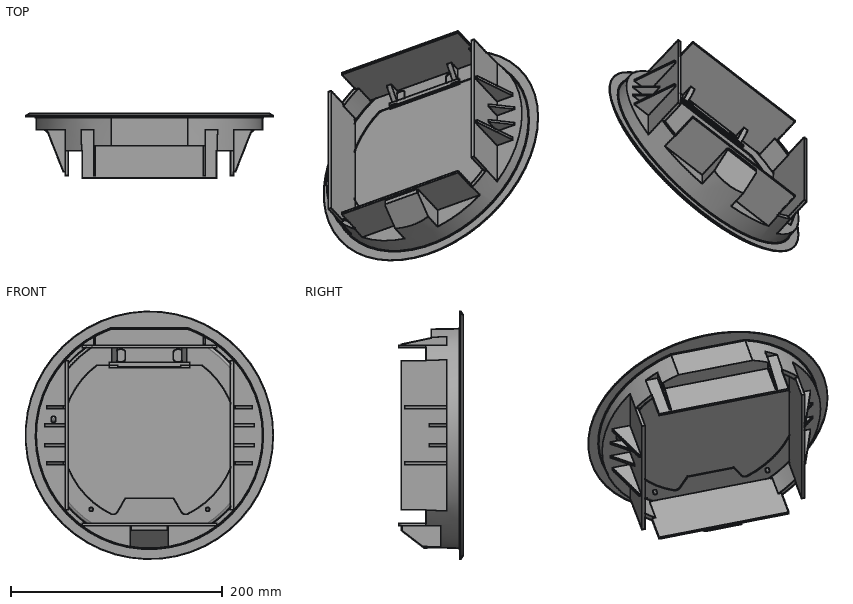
import cadquery as cq
import math


RING_RADIUS = 117.0
RING_REAR_RADIUS = 113.3
RING_EDGE_DEPTH = 2.3
RING_DEPTH = 3.3
LIP_DEPTH = 4.0
LIP_MARGIN = 0.7
PLATE_DEPTH = 13.5
PLATE_RIM_FILLET = 3.0

BODY_RADIUS = 107.0
DRAFT_ANGLE = 0.8
SKIRT_THICKNESS = 4.7
FLAT_HEIGHT = 100.6
SIDE_FLOOR_DEPTH = 15.5
BOTTOM_FLOOR_DEPTH = 21.3
TOP_FLOOR_DEPTH = 30.5
CORNER_DEPTH = 35.3
PLATE_RADIUS = BODY_RADIUS - SKIRT_THICKNESS
PLATE_FLAT_HEIGHT = FLAT_HEIGHT - SKIRT_THICKNESS

WALL_SIDE_X = 79.5
WALL_SIDE_THICKNESS = 3.0
WALL_SIDE_HALF_LENGTH = 70.5
WALL_SIDE_DEPTH = 58.7
WALL_END_Z = 85.2
WALL_END_THICKNESS = 2.3
WALL_END_HALF_LENGTH = 63.5
WALL_END_DEPTH = 61.0

LONG_RIB_Z = 26.5
LONG_RIB_THICKNESS = 3.0
LONG_RIB_ROOT_X = 96.9
LONG_RIB_TIP_WIDTH = 1.6
LONG_RIB_DEPTH = 55.2
SHORT_RIB_Z = 9.4
SHORT_RIB_THICKNESS = 2.5
SHORT_RIB_ROOT_X = 99.0
SHORT_RIB_DEPTH = 32.0
TOP_RIB_X = 52.6
TOP_RIB_THICKNESS = 1.6
TOP_RIB_ROOT_Z = 92.0
TOP_RIB_TIP_Z = 85.9
TOP_RIB_DEPTH = 58.7

BOX_HALF_WIDTH = 18.0
BOX_DEPTH = 58.7
BOX_LIP_Z = 89.6
BOX_BASE_DEPTH = 36.3
BOX_CHAMFER = 1.0

LID_RADIUS = 82.5
LID_TOP_Z = 66.0
LID_RECESS = 1.0
LID_NOTCH_Z = 59.5
LID_NOTCH_HALF_WIDTH = 22.7
LID_NOTCH_ANGLE = 60.0
LID_LOBE_RADIUS = 4.7

BAR_HALF_WIDTH = 38.0
BAR_TOP_Z = 69.0
BAR_BOTTOM_Z = 63.9
BAR_THICKNESS = 2.3
BAR_CHAMFER = 0.7
BAR_TAB_LENGTH = 8.2
BAR_TAB_STEP = 1.2
LUG_OUTER_X = 35.3
LUG_WIDTH = 5.0
LUG_HEIGHT = 11.7
POCKET_CENTRE_X = 27.1
POCKET_WIDTH = 9.1
POCKET_BOTTOM_Z = 69.5
POCKET_TOP_Z = 81.0
POCKET_RADIUS = 3.0
POCKET_DEPTH = 0.7

STUD_X = 55.0
STUD_Z = -70.0
STUD_RADIUS = 1.9
STUD_HEIGHT = 3.5
STUD_FILLET = 1.2
LATCH_X = -90.5
LATCH_Z = 15.0
LATCH_WIDTH = 4.5
LATCH_LENGTH = 5.8
LATCH_HEIGHT = 3.0
LATCH_FILLET = 1.9


def at_depth(depth):
    """Sketch plane at a depth: local x is X, local y is Z, extruding goes deeper."""
    return cq.Workplane("XZ", origin=(0, -depth, 0))


def block(x_min, x_max, z_min, z_max, depth_min, depth_max):
    """Rectangular block between two depths."""
    return (
        at_depth(depth_min)
        .center((x_min + x_max) / 2, (z_min + z_max) / 2)
        .rect(x_max - x_min, z_max - z_min)
        .extrude(depth_max - depth_min)
    )


def flat_disc(radius, flat_height, depth):
    """Disc from Y = 0 with a flat across its top."""
    disc = at_depth(0).circle(radius).extrude(depth)
    return disc.cut(block(-radius, radius, flat_height, radius, 0, depth))


def mirrored_pair(shape):
    """A shape joined with its copy on the other side of X = 0."""
    return shape.union(shape.mirror("YZ"))


def lid_blank(depth):
    """Lid outline extruded from Y = 0, with a notch at the bottom for cables."""
    blank = flat_disc(LID_RADIUS, LID_TOP_Z, depth)
    notch_drop = LID_RADIUS - LID_NOTCH_Z
    flare = notch_drop / math.tan(math.radians(LID_NOTCH_ANGLE))
    notch = (
        at_depth(0)
        .polyline(
            [
                (-LID_NOTCH_HALF_WIDTH, -LID_NOTCH_Z),
                (LID_NOTCH_HALF_WIDTH, -LID_NOTCH_Z),
                (LID_NOTCH_HALF_WIDTH + flare, -LID_RADIUS),
                (-LID_NOTCH_HALF_WIDTH - flare, -LID_RADIUS),
            ]
        )
        .close()
        .extrude(depth)
    )
    lobe_tips = cq.selectors.BoxSelector(
        (-LID_RADIUS, -depth, -LID_RADIUS), (LID_RADIUS, 0, -LID_TOP_Z)
    )
    return blank.cut(notch).edges("|Y").edges(lobe_tips).fillet(LID_LOBE_RADIUS)


def make_lid():
    return lid_blank(PLATE_DEPTH - LID_RECESS)


def plate():
    """Round plate with a flat at its top and a rounded front rim."""
    disc = flat_disc(PLATE_RADIUS, PLATE_FLAT_HEIGHT, PLATE_DEPTH)
    return disc.faces("<Y").edges().fillet(PLATE_RIM_FILLET)


def hinge_pockets():
    """Shallow rounded pockets beside the lugs."""
    pocket = (
        at_depth(PLATE_DEPTH - POCKET_DEPTH)
        .center(POCKET_CENTRE_X, (POCKET_BOTTOM_Z + POCKET_TOP_Z) / 2)
        .rect(POCKET_WIDTH, POCKET_TOP_Z - POCKET_BOTTOM_Z)
        .extrude(POCKET_DEPTH)
        .edges("|Y")
        .fillet(POCKET_RADIUS)
    )
    return mirrored_pair(pocket)


def make_frame():
    """Trim ring with a low lip behind the housing, the plate inside it, and an opening for the lid."""
    profile = [
        (0, 0),
        (RING_REAR_RADIUS, 0),
        (RING_RADIUS, -RING_EDGE_DEPTH),
        (RING_RADIUS, -RING_DEPTH),
        (0, -RING_DEPTH),
    ]
    ring = cq.Workplane("XY").polyline(profile).close().revolve(360, (0, 0, 0), (0, 1, 0))
    lip = flat_disc(BODY_RADIUS + LIP_MARGIN, FLAT_HEIGHT + LIP_MARGIN, LIP_DEPTH)
    return ring.union(lip).union(plate()).cut(lid_blank(PLATE_DEPTH)).cut(hinge_pockets())


def envelope(depth):
    """Drafted round body with a flat on top, from the frame's lip to the given depth."""
    height = depth - LIP_DEPTH
    shrink = height * math.tan(math.radians(DRAFT_ANGLE))
    cone = at_depth(LIP_DEPTH).circle(BODY_RADIUS).extrude(height, taper=DRAFT_ANGLE)
    outline = [
        (-LIP_DEPTH, FLAT_HEIGHT),
        (-depth, FLAT_HEIGHT - shrink),
        (-depth, BODY_RADIUS),
        (-LIP_DEPTH, BODY_RADIUS),
    ]
    plane = cq.Workplane("YZ", origin=(-BODY_RADIUS, 0, 0))
    return cone.cut(plane.polyline(outline).close().extrude(2 * BODY_RADIUS))


def solid_core():
    """Envelope cut back outside the walls, leaving full-depth skirts only at the corners."""
    edge = BODY_RADIUS
    core = envelope(CORNER_DEPTH)
    core = core.cut(block(-edge, edge, -edge, -WALL_END_Z, BOTTOM_FLOOR_DEPTH, CORNER_DEPTH))
    core = core.cut(block(-edge, edge, WALL_END_Z, edge, TOP_FLOOR_DEPTH, CORNER_DEPTH))
    side = block(WALL_SIDE_X, edge, -WALL_END_Z, WALL_END_Z, SIDE_FLOOR_DEPTH, CORNER_DEPTH)
    top_corner = block(TOP_RIB_X, edge, WALL_END_Z, edge, SIDE_FLOOR_DEPTH, CORNER_DEPTH)
    return core.cut(mirrored_pair(side)).cut(mirrored_pair(top_corner))


def walls():
    """Two side walls and two end walls."""
    inner_x = WALL_SIDE_X - WALL_SIDE_THICKNESS
    inner_z = WALL_END_Z - WALL_END_THICKNESS
    half_z = WALL_SIDE_HALF_LENGTH
    half_x = WALL_END_HALF_LENGTH
    sides = mirrored_pair(block(inner_x, WALL_SIDE_X, -half_z, half_z, PLATE_DEPTH, WALL_SIDE_DEPTH))
    top = block(-half_x, half_x, inner_z, WALL_END_Z, PLATE_DEPTH, WALL_END_DEPTH)
    return sides.union(top).union(top.mirror("XY"))


def interior():
    """Pocket that takes the plate, opening into the space between the walls."""
    half_x = WALL_SIDE_X - WALL_SIDE_THICKNESS
    half_z = WALL_END_Z - WALL_END_THICKNESS
    square = block(-half_x, half_x, -half_z, half_z, 0, WALL_END_DEPTH)
    opening = at_depth(0).circle(PLATE_RADIUS).extrude(WALL_END_DEPTH).intersect(square)
    return opening.union(flat_disc(PLATE_RADIUS, PLATE_FLAT_HEIGHT, PLATE_DEPTH))


def side_rib(z, thickness, root_x, tip_points):
    """Tapered rib on the side floor against the right wall, centred on height z."""
    outline = [(WALL_SIDE_X, -SIDE_FLOOR_DEPTH), (root_x, -SIDE_FLOOR_DEPTH), *tip_points]
    plane = cq.Workplane("XY", origin=(0, 0, z - thickness / 2))
    return plane.polyline(outline).close().extrude(thickness)


def side_ribs():
    """Two long blunt ribs and two short pointed ribs on each side wall."""
    long_tip = [
        (WALL_SIDE_X + LONG_RIB_TIP_WIDTH, -LONG_RIB_DEPTH),
        (WALL_SIDE_X, -LONG_RIB_DEPTH),
    ]
    short_tip = [(WALL_SIDE_X, -SHORT_RIB_DEPTH)]
    ribs = cq.Workplane("XY")
    for side in (-1, 1):
        ribs.add(side_rib(side * LONG_RIB_Z, LONG_RIB_THICKNESS, LONG_RIB_ROOT_X, long_tip))
        ribs.add(side_rib(side * SHORT_RIB_Z, SHORT_RIB_THICKNESS, SHORT_RIB_ROOT_X, short_tip))
    return mirrored_pair(ribs.combine())


def top_ribs():
    """Tapered ribs between the top segment and the top wall."""
    outline = [
        (-TOP_FLOOR_DEPTH, WALL_END_Z),
        (-TOP_FLOOR_DEPTH, TOP_RIB_ROOT_Z),
        (-TOP_RIB_DEPTH, TOP_RIB_TIP_Z),
        (-TOP_RIB_DEPTH, WALL_END_Z),
    ]
    plane = cq.Workplane("YZ", origin=(TOP_RIB_X - TOP_RIB_THICKNESS, 0, 0))
    return mirrored_pair(plane.polyline(outline).close().extrude(TOP_RIB_THICKNESS))


def cable_box():
    """Box below the bottom wall whose underside slopes up toward the wall's edge."""
    outline = [
        (0, -WALL_END_Z),
        (-BOX_DEPTH, -WALL_END_Z),
        (-BOX_DEPTH, -BOX_LIP_Z),
        (-BOX_BASE_DEPTH, -BODY_RADIUS),
        (0, -BODY_RADIUS),
    ]
    plane = cq.Workplane("YZ", origin=(-BOX_HALF_WIDTH, 0, 0))
    box = plane.polyline(outline).close().extrude(2 * BOX_HALF_WIDTH)
    box = box.faces("<Y").edges("|Z").chamfer(BOX_CHAMFER)
    return box.intersect(envelope(BOX_DEPTH))


def hinge_lugs():
    """Triangular lugs inside the top wall, sloping down toward the hinge bar."""
    top_z = WALL_END_Z - WALL_END_THICKNESS
    outline = [(-PLATE_DEPTH, BAR_TOP_Z), (-PLATE_DEPTH, top_z), (-PLATE_DEPTH - LUG_HEIGHT, top_z)]
    plane = cq.Workplane("YZ", origin=(LUG_OUTER_X - LUG_WIDTH, 0, 0))
    return mirrored_pair(plane.polyline(outline).close().extrude(LUG_WIDTH))


def make_housing():
    shell = solid_core().union(walls()).union(cable_box()).cut(interior())
    return shell.union(side_ribs()).union(top_ribs()).union(hinge_lugs())


def make_hinge_bar():
    """Bar across the lid's top edge, with a thinner tab at each lower end."""
    front = PLATE_DEPTH + BAR_THICKNESS
    bar = block(-BAR_HALF_WIDTH, BAR_HALF_WIDTH, BAR_BOTTOM_Z, BAR_TOP_Z, PLATE_DEPTH, front)
    bar = bar.faces("<Y").edges("<Z").chamfer(BAR_CHAMFER)
    tab_x = BAR_HALF_WIDTH - BAR_TAB_LENGTH
    step = block(tab_x, BAR_HALF_WIDTH, BAR_BOTTOM_Z, LID_TOP_Z, front - BAR_TAB_STEP, front)
    return bar.cut(mirrored_pair(step))


def make_stud(x):
    stud = at_depth(PLATE_DEPTH).center(x, STUD_Z).circle(STUD_RADIUS).extrude(STUD_HEIGHT)
    return stud.faces("<Y").edges().fillet(STUD_FILLET)


def make_latch():
    latch = (
        at_depth(SIDE_FLOOR_DEPTH)
        .center(LATCH_X, LATCH_Z)
        .slot2D(LATCH_LENGTH, LATCH_WIDTH, 90)
        .extrude(LATCH_HEIGHT)
    )
    return latch.faces("<Y").edges().fillet(LATCH_FILLET)


frame = make_frame()
housing = make_housing()
lid = make_lid()
hinge_bar = make_hinge_bar()
latch = make_latch()
studs = [make_stud(x) for x in (-STUD_X, STUD_X)]

bodies = [frame, housing, lid, hinge_bar, latch, *studs]
result = cq.Compound.makeCompound([body.solids().val() for body in bodies])